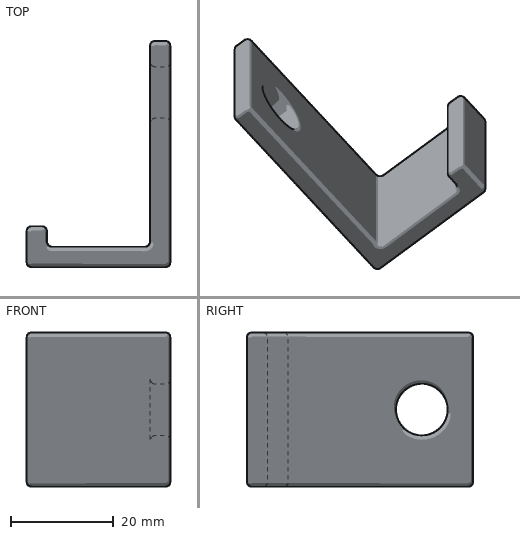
import cadquery as cq

width = 28.0
length = 44.0
height = 30.0

thickness = 4.0
lip_length = 8.0
edge_radius = 1.0

hole_diameter = 10.0
hole_end_distance = 10.0

half_width = width / 2
half_length = length / 2
half_height = height / 2
wall_inner_x = half_width - thickness
lip_inner_x = -half_width + thickness
base_inner_y = -half_length + thickness


def make_hook():
    """J-shaped profile: short lip, base and long wall, extruded along Z."""
    return (
        cq.Workplane("XY")
        .workplane(offset=-half_height)
        .moveTo(-half_width, -half_length)
        .lineTo(half_width, -half_length)
        .lineTo(half_width, half_length)
        .lineTo(wall_inner_x, half_length)
        .lineTo(wall_inner_x, base_inner_y)
        .lineTo(lip_inner_x, base_inner_y)
        .lineTo(lip_inner_x, -half_length + lip_length)
        .lineTo(-half_width, -half_length + lip_length)
        .close()
        .extrude(height)
    )


def round_inner_corners(body):
    """Round the two concave corners where the base meets the lip and the wall."""
    for corner_x in (lip_inner_x, wall_inner_x):
        corner = cq.selectors.NearestToPointSelector((corner_x, base_inner_y, 0))
        body = body.edges("|Z").edges(corner).fillet(edge_radius)
    return body


def round_outer_edges(body):
    """Round every edge except the tangent lines of the two concave corners."""
    tangent_lines = cq.selectors.BoxSelector(
        (lip_inner_x - edge_radius, base_inner_y - edge_radius, -edge_radius),
        (wall_inner_x + edge_radius, base_inner_y + 2 * edge_radius, edge_radius),
    )
    return body.edges(-tangent_lines).fillet(edge_radius)


def make_hole():
    """Cylinder along X through the long wall."""
    return (
        cq.Workplane("YZ", origin=(wall_inner_x, half_length - hole_end_distance, 0))
        .circle(hole_diameter / 2)
        .extrude(thickness)
    )


hook = round_inner_corners(make_hook()).cut(make_hole())
result = round_outer_edges(hook)